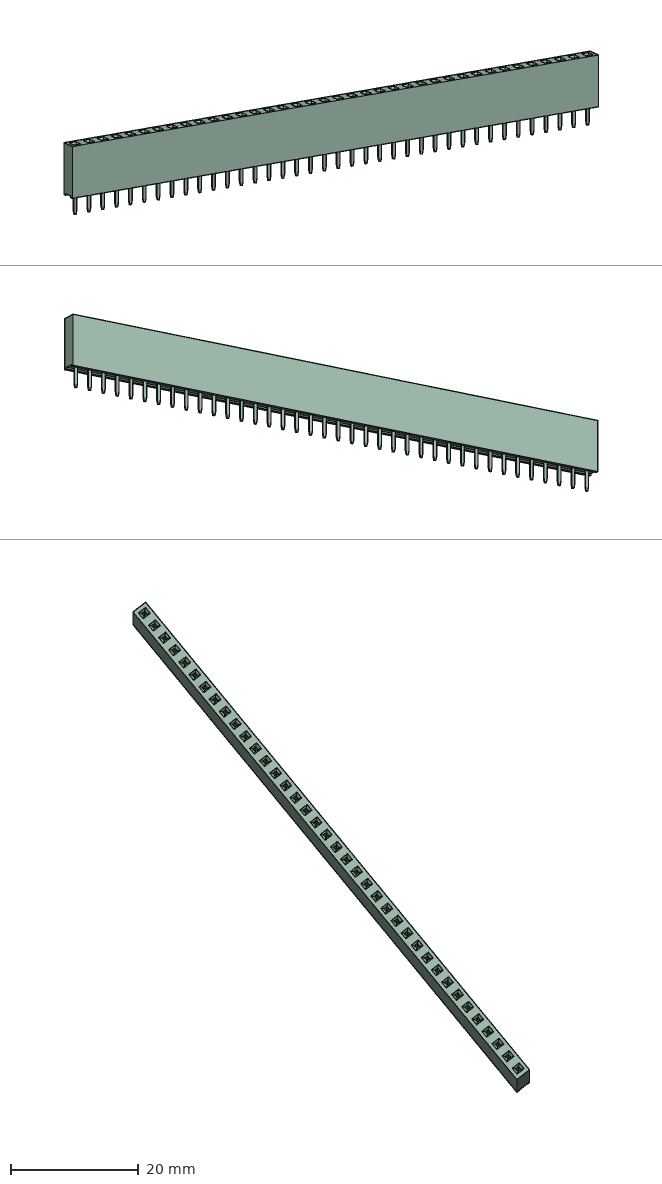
import cadquery as cq

pin_count = 38
length = 96.5
pitch = length / pin_count
width = pitch
height = 11.6

housing_height = 8.5
channel_width = 1.4
channel_depth = 0.26

tail_length = height - housing_height
tail_thickness = 0.24
tail_width = 0.6
tail_tip_width = 0.3
tail_tip_length = 0.7

hole_x = 0.6
hole_y = 0.6
hole_depth = 5.8
funnel_run_x = 0.41
funnel_run_y = 0.3
funnel_depth = 0.34
entry_x = hole_x + 2 * funnel_run_x
entry_y = hole_y + 2 * funnel_run_y

pin_points = [(0, (i - (pin_count - 1) / 2) * pitch) for i in range(pin_count)]


def make_housing():
    """Plain bar whose underside is relieved between two full-length side rails."""
    bar = cq.Workplane("XY").box(width, length, housing_height, centered=(True, True, False))
    channel = cq.Workplane("XY").box(channel_width, length, channel_depth, centered=(True, True, False))
    return bar.cut(channel)


def make_tail():
    """Flat tail reaching down from the channel ceiling, tapered at its tip."""
    half_width = tail_width / 2
    half_tip = tail_tip_width / 2
    shoulder_z = tail_tip_length - tail_length
    outline = [
        (-half_width, channel_depth),
        (-half_width, shoulder_z),
        (-half_tip, -tail_length),
        (half_tip, -tail_length),
        (half_width, shoulder_z),
        (half_width, channel_depth),
    ]
    return cq.Workplane("YZ").polyline(outline).close().extrude(tail_thickness / 2, both=True)


def make_socket():
    """Four-sided funnel narrowing into a straight blind hole."""
    funnel = (
        cq.Workplane("XY", origin=(0, 0, housing_height))
        .rect(entry_x, entry_y)
        .workplane(offset=-funnel_depth)
        .rect(hole_x, hole_y)
        .loft(ruled=True)
    )
    hole = (
        cq.Workplane("XY", origin=(0, 0, housing_height - hole_depth))
        .rect(hole_x, hole_y)
        .extrude(hole_depth - funnel_depth)
    )
    return funnel.union(hole)


def repeat_along_row(shape):
    """One copy of the shape at every pin position."""
    solid = shape.val()
    return cq.Workplane("XY").pushPoints(pin_points).eachpoint(lambda place: solid.moved(place), combine=False)


sockets = repeat_along_row(make_socket())
tails = repeat_along_row(make_tail())
result = make_housing().cut(sockets.combine()).union(tails.combine())